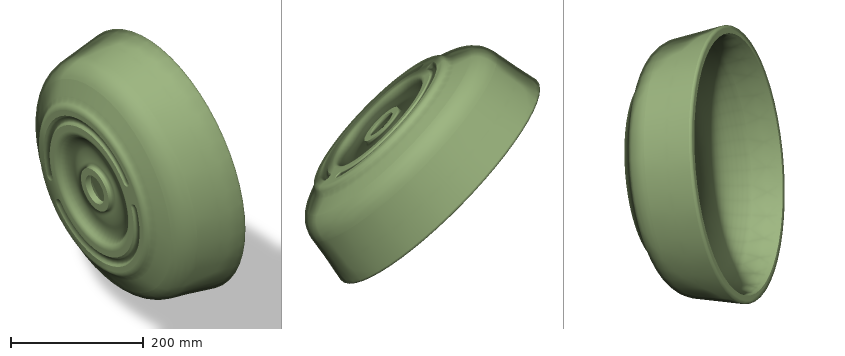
import cadquery as cq
import math

rim_radius = 211.2
height = 135.0
rim_round = 4.2

shoulder_radius, shoulder_y = 197.3, 54.0
belly_radius, belly_y = 174.0, 22.5
foot_top_radius, foot_top_y = 148.5, 11.0
foot_side_radius, foot_side_y = 140.3, 4.2
foot_radius = 132.2

recess_radius = 97.0
recess_wall_radius, recess_wall_y = 89.5, 3.15
recess_corner_radius, recess_corner_y = 82.5, 10.5
recess_floor_radius, recess_floor_y = 64.2, 17.0

boss_root_radius, boss_root_y = 39.5, 14.5
boss_radius, boss_y = 35.5, 6.0
boss_fillet = boss_root_radius - boss_radius
drain_radius = 23.5
drain_depth = 9.7

wall = 12.5
bowl_corner_radius = 59.0

grooves = ((41, 160), (223.5, 155.5))
groove_radius = 115.5
groove_width = 15.0
groove_bed_width = 7.0
groove_wall_depth = 4.0
groove_bed_sag = 1.5


def basin():
    """Solid of revolution, outlined from the rim down to the drain and back up inside."""
    bowl_rim_radius = rim_radius - wall
    side_slope = (rim_radius - shoulder_radius) / (height - rim_round - shoulder_y)
    bowl_floor_y = recess_floor_y + wall
    bowl_corner_y = bowl_floor_y + bowl_corner_radius
    bowl_side_radius = bowl_rim_radius - side_slope * (height - bowl_corner_y)
    round_inset = rim_round * (1 - math.sqrt(0.5))
    corner_inset = bowl_corner_radius * (1 - math.sqrt(0.5))

    profile = (
        cq.Workplane("XY")
        .moveTo(bowl_rim_radius, height)
        .lineTo(rim_radius - rim_round, height)
        .threePointArc(
            (rim_radius - round_inset, height - round_inset),
            (rim_radius, height - rim_round),
        )
        .lineTo(shoulder_radius, shoulder_y)
        .tangentArcPoint((belly_radius, belly_y), relative=False)
        .lineTo(foot_top_radius, foot_top_y)
        .tangentArcPoint((foot_side_radius, foot_side_y), relative=False)
        .tangentArcPoint((foot_radius, 0), relative=False)
        .lineTo(recess_radius, 0)
        .tangentArcPoint((recess_wall_radius, recess_wall_y), relative=False)
        .lineTo(recess_corner_radius, recess_corner_y)
        .tangentArcPoint((recess_floor_radius, recess_floor_y), relative=False)
        .lineTo(boss_root_radius, boss_root_y)
        .tangentArcPoint((boss_radius, boss_root_y - boss_fillet), relative=False)
        .lineTo(boss_radius, boss_y)
        .lineTo(drain_radius, boss_y)
        .lineTo(drain_radius, boss_y + drain_depth)
        .lineTo(boss_root_radius, boss_root_y + wall)
        .lineTo(bowl_side_radius - bowl_corner_radius, bowl_floor_y)
        .threePointArc(
            (bowl_side_radius - corner_inset, bowl_floor_y + corner_inset),
            (bowl_side_radius, bowl_corner_y),
        )
        .close()
    )
    return profile.revolve(360, (0, 0, 0), (0, 1, 0))


def groove_half_section():
    """Half of the groove section: sloping wall and round bed, centred on x = 0."""
    half_bed = groove_bed_width / 2
    bed_y = groove_wall_depth + groove_bed_sag
    bed_arc_radius = (half_bed**2 + groove_bed_sag**2) / (2 * groove_bed_sag)
    mid_x = half_bed / 2
    mid_y = bed_y - bed_arc_radius + math.sqrt(bed_arc_radius**2 - mid_x**2)
    return (
        cq.Workplane("XY")
        .lineTo(groove_width / 2, 0)
        .lineTo(half_bed, groove_wall_depth)
        .threePointArc((mid_x, mid_y), (0, bed_y))
        .close()
    )


def groove_channel(sweep):
    """Curved run of a groove, starting at +X and swept towards +Z."""
    half_bed = groove_bed_width / 2
    section = (
        cq.Workplane("XY")
        .moveTo(groove_radius + groove_width / 2, 0)
        .lineTo(groove_radius + half_bed, groove_wall_depth)
        .threePointArc(
            (groove_radius, groove_wall_depth + groove_bed_sag),
            (groove_radius - half_bed, groove_wall_depth),
        )
        .lineTo(groove_radius - groove_width / 2, 0)
        .close()
    )
    return section.revolve(sweep, (0, 0, 0), (0, -1, 0))


def groove_end():
    """Round end of a groove, placed at +X."""
    end = groove_half_section().revolve(360, (0, 0, 0), (0, 1, 0))
    return end.translate((groove_radius, 0, 0))


def turned(body, angle):
    """Turn a body about the basin axis, from +X towards +Z."""
    return body.rotate((0, 0, 0), (0, 1, 0), -angle)


result = basin()
for start_angle, sweep_angle in grooves:
    result = result.cut(turned(groove_channel(sweep_angle), start_angle))
    for end_angle in (start_angle, start_angle + sweep_angle):
        result = result.cut(turned(groove_end(), end_angle))